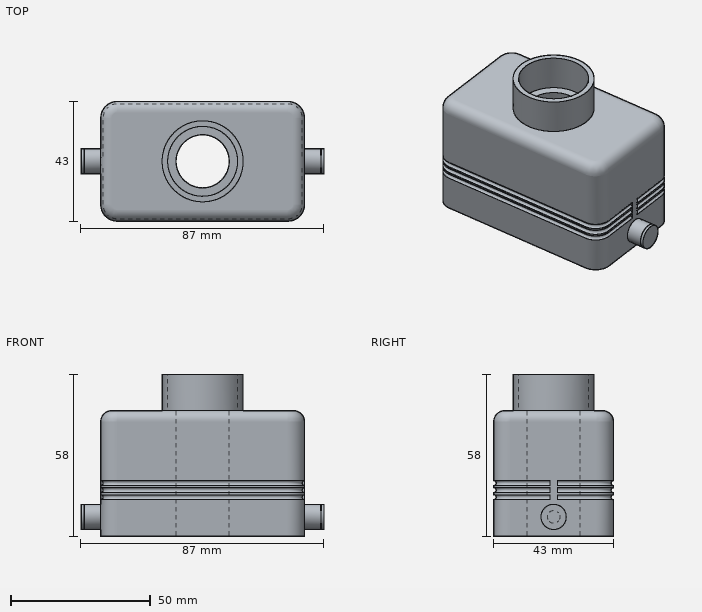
import cadquery as cq

overall_length = 87.0
body_length = 73.1
body_width = 43.0
body_height = 45.1
corner_radius = 6.0
top_edge_radius = 4.0

overall_height = 58.0
collar_diameter = 29.1
bore_diameter = 25.05
entry_diameter = 19.0

pin_diameter = 9.05
pin_height = 7.0
pin_cap_thickness = 1.05
pin_slit_width = 0.1
pin_neck_diameter = 4.5

groove_count = 3
groove_radius = 0.9
groove_pitch = 2.5
lowest_groove_height = 14.0
groove_gap = 2.7


def make_rounded_block(height):
    """Upright block on the base plane with rounded vertical corners."""
    block = cq.Workplane("XY").rect(body_length, body_width).extrude(height)
    return block.edges("|Z").fillet(corner_radius)


def make_body():
    """Rounded block with a rounded top rim."""
    return make_rounded_block(body_height).faces(">Z").edges().fillet(top_edge_radius)


def make_groove(height):
    """Half-round groove following the body outline, interrupted at the middle of each end."""
    outline = make_rounded_block(height).faces(">Z").wires()
    ring = cq.Workplane("YZ").center(-body_width / 2, height).circle(groove_radius).sweep(outline)
    web_height = 4 * groove_radius
    web = cq.Workplane("XY", origin=(0, 0, height)).box(overall_length, groove_gap, web_height)
    return ring.cut(web)


def make_pin_section(diameter, start, length):
    """Round bar along X at pin height, starting at the given X."""
    return cq.Workplane("YZ", origin=(start, 0, pin_height)).circle(diameter / 2).extrude(length)


def make_pins():
    """Bar through the body; a fine slit sets off a thin cap at each end."""
    bar = make_pin_section(pin_diameter, -overall_length / 2, overall_length)
    slit_offset = overall_length / 2 - pin_cap_thickness - pin_slit_width / 2
    for slit_center in (-slit_offset, slit_offset):
        slit_start = slit_center - pin_slit_width / 2
        slit = make_pin_section(pin_diameter, slit_start, pin_slit_width)
        neck = make_pin_section(pin_neck_diameter, slit_start, pin_slit_width)
        bar = bar.cut(slit.cut(neck))
    return bar


def make_upright_cylinder(diameter, bottom, top):
    """Cylinder about the central vertical axis between two heights."""
    return cq.Workplane("XY", origin=(0, 0, bottom)).circle(diameter / 2).extrude(top - bottom)


hood = make_body()
for index in range(groove_count):
    hood = hood.cut(make_groove(lowest_groove_height + index * groove_pitch))
hood = hood.union(make_pins())

collar = make_upright_cylinder(collar_diameter, body_height, overall_height)
collar_bore = make_upright_cylinder(bore_diameter, body_height, overall_height)
entry_hole = make_upright_cylinder(entry_diameter, 0, body_height)

result = hood.union(collar).cut(collar_bore).cut(entry_hole)